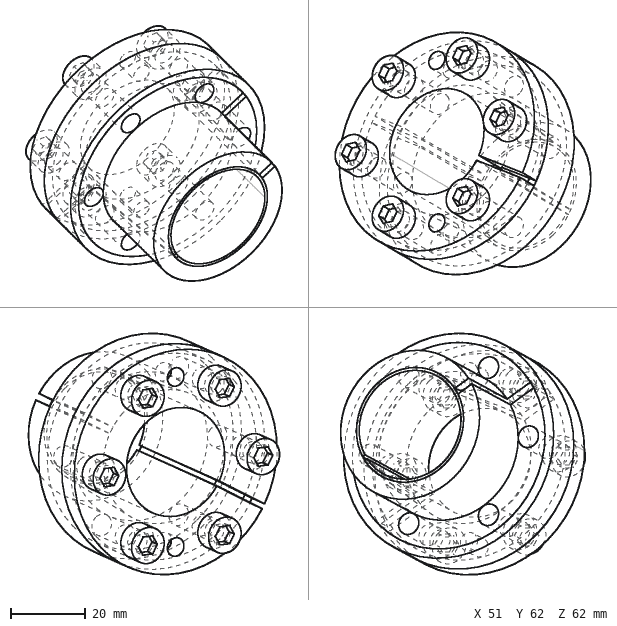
import cadquery as cq
import math


head_length = 6.0
flange_length = 7.0
spacer_length = 13.0
sleeve_length = 25.0
bush_end = spacer_length + sleeve_length
flange_front = -flange_length

outer_radius = 31.0
spacer_bore_radius = 28.45
sleeve_radius = 20.5
cone_large_radius = 18.4
cone_small_radius = 15.8
bore_radius = 15.0

pitch_diameter = 47.05
pitch_radius = pitch_diameter / 2
screw_count = 6
screw_head_diameter = 10.0
shank_radius = 3.0
shank_length = flange_length + spacer_length
socket_flats = 5.0
socket_depth = 3.0
jack_hole_radius = 2.55
jack_hole_angles = (90, 270)

inner_slit_width = 1.4
inner_slit_angle = 210
sleeve_slit_width = 1.9
sleeve_slit_angle = inner_slit_angle - 180


def on_pitch_circle(angle):
    """Y and Z of the point on the pitch circle at an angle in degrees."""
    return (
        pitch_radius * math.cos(math.radians(angle)),
        pitch_radius * math.sin(math.radians(angle)),
    )


screw_places = [on_pitch_circle(360 / screw_count * i) for i in range(screw_count)]
jack_hole_places = [on_pitch_circle(angle) for angle in jack_hole_angles]


def rod(x_start, length, radius, places=((0, 0),)):
    """Cylinders along +X from x_start, one at each (Y, Z) place."""
    return cq.Workplane("YZ", origin=(x_start, 0, 0)).pushPoints(places).circle(radius).extrude(length)


def revolve_about_x(profile):
    """Solid of revolution from an (X, radius) profile."""
    return cq.Workplane("XY").polyline(profile).close().revolve(360, (0, 0, 0), (1, 0, 0))


def slit(width, angle):
    """Radial cutter running from the axis past the outside, over the whole bush length."""
    return (
        cq.Workplane("XY")
        .box(bush_end - flange_front, outer_radius + width, width, centered=(False, False, True))
        .translate((flange_front, 0, 0))
        .rotate((0, 0, 0), (1, 0, 0), angle)
    )


def make_inner_ring():
    """Flange with a tapered sleeve, split along its whole length."""
    ring = revolve_about_x([
        (flange_front, bore_radius),
        (flange_front, outer_radius),
        (0, outer_radius),
        (0, cone_large_radius),
        (bush_end, cone_small_radius),
        (bush_end, bore_radius),
    ])
    ring = ring.cut(slit(inner_slit_width, inner_slit_angle))
    ring = ring.cut(rod(flange_front, flange_length, jack_hole_radius, jack_hole_places))
    return ring.cut(rod(flange_front, flange_length, shank_radius, screw_places))


def make_outer_sleeve():
    """Flanged sleeve with a tapered bore, split along its whole length."""
    sleeve = revolve_about_x([
        (0, cone_large_radius),
        (0, spacer_bore_radius),
        (spacer_length, spacer_bore_radius),
        (spacer_length, sleeve_radius),
        (bush_end, sleeve_radius),
        (bush_end, cone_small_radius),
    ])
    sleeve = sleeve.cut(slit(sleeve_slit_width, sleeve_slit_angle))
    return sleeve.cut(rod(0, spacer_length, shank_radius, screw_places))


def make_spacer_ring():
    """Plain closed ring around the sleeve flange."""
    return rod(0, spacer_length, outer_radius).cut(rod(0, spacer_length, spacer_bore_radius))


def make_screw(place):
    """Socket head screw whose shank ends level with the back of the spacer ring."""
    head_front = flange_front - head_length
    socket_diameter = socket_flats / math.cos(math.pi / 6)
    socket = (
        cq.Workplane("YZ", origin=(head_front, 0, 0))
        .polygon(6, socket_diameter)
        .extrude(socket_depth)
    )
    head = rod(head_front, head_length, screw_head_diameter / 2)
    shank = rod(flange_front, shank_length, shank_radius)
    return head.union(shank).cut(socket).translate((0, *place))


inner_ring = make_inner_ring()
outer_sleeve = make_outer_sleeve()
spacer_ring = make_spacer_ring()
screws = [make_screw(place) for place in screw_places]

result = cq.Compound.makeCompound([
    inner_ring.val(),
    outer_sleeve.val(),
    spacer_ring.val(),
    *[screw.val() for screw in screws],
])